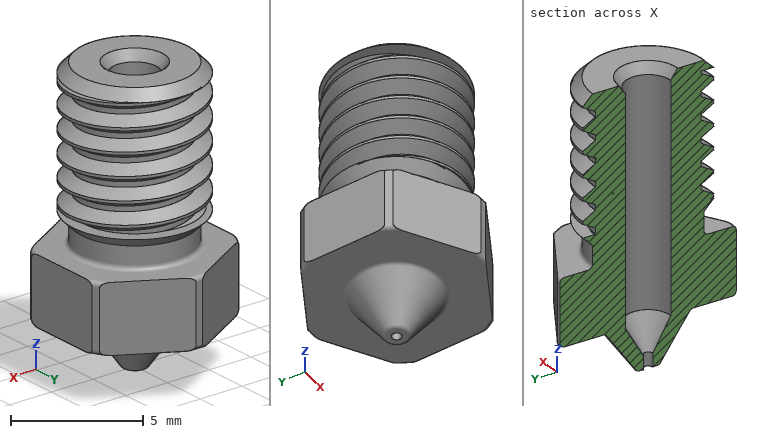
import cadquery as cq
import math

total_height = 12.5
hex_bottom = 2.0
hex_top = 5.0
neck_top = 6.0

across_flats = 7.0
across_corners = 7.9
neck_radius = 5.0 / 2
collar_radius = 5.89 / 2
crest_radius = 5.88 / 2
core_radius = 4.75 / 2
tip_radius = 0.5
cone_base_radius = 1.92
edge_fillet = 0.2

end_chamfer = collar_radius - neck_radius
thread_bottom = neck_top + end_chamfer
thread_top = total_height - end_chamfer

pitch = 1.0
crest_width = pitch / 8
flank_angle = 30.0
crest_height_at_x = 5.84
ridge_overlap = 0.06

bore_radius = 2.0 / 2
orifice_radius = 0.4 / 2
orifice_length = 0.6
bore_cone_half_angle = 30.0
mouth_radius = 1.31
mouth_depth = 0.44


def make_hex():
    """Hexagon with flats on +X and -X, its corners cut flat and rounded at both ends."""
    height = hex_top - hex_bottom
    corner_diameter = across_flats / math.cos(math.radians(30))
    body = (
        cq.Workplane("XY", origin=(0, 0, hex_bottom))
        .polygon(6, corner_diameter)
        .extrude(height)
        .rotate((0, 0, 0), (0, 0, 1), 30)
    )
    slab = (
        cq.Workplane("XY", origin=(0, 0, hex_bottom))
        .rect(2 * across_corners, across_corners)
        .extrude(height)
        .edges("|X")
        .fillet(edge_fillet)
    )
    for angle in (0, 60, 120):
        body = body.intersect(slab.rotate((0, 0, 0), (0, 0, 1), angle))
    return body


def make_shank():
    """Neck, thread core and the chamfered collars at both ends of the thread."""
    return (
        cq.Workplane("XZ")
        .moveTo(0, hex_top)
        .lineTo(neck_radius + edge_fillet, hex_top)
        .radiusArc((neck_radius, hex_top + edge_fillet), edge_fillet)
        .lineTo(neck_radius, neck_top)
        .lineTo(collar_radius, thread_bottom)
        .lineTo(core_radius, thread_bottom)
        .lineTo(core_radius, thread_top)
        .lineTo(collar_radius, thread_top)
        .lineTo(neck_radius, total_height)
        .lineTo(0, total_height)
        .close()
        .revolve(360, (0, 0, 0), (0, 1, 0))
    )


def make_thread():
    """Helical ridge, clipped to the length between the two collars."""
    root_radius = core_radius - ridge_overlap
    flank_rise = (crest_radius - root_radius) * math.tan(math.radians(flank_angle))
    half_crest = crest_width / 2
    half_root = half_crest + flank_rise
    turns = math.ceil((thread_top - crest_height_at_x) / pitch) + 1
    helix = cq.Wire.makeHelix(pitch, turns * pitch, root_radius, cq.Vector(0, 0, crest_height_at_x))
    ridge = (
        cq.Workplane("XZ")
        .moveTo(root_radius, crest_height_at_x - half_root)
        .lineTo(crest_radius, crest_height_at_x - half_crest)
        .lineTo(crest_radius, crest_height_at_x + half_crest)
        .lineTo(root_radius, crest_height_at_x + half_root)
        .close()
        .sweep(cq.Workplane(helix), isFrenet=True)
    )
    threaded_length = (
        cq.Workplane("XY", origin=(0, 0, thread_bottom))
        .circle(2 * crest_radius)
        .extrude(thread_top - thread_bottom)
    )
    return ridge.intersect(threaded_length)


def make_tip():
    """Conical tip with a rounded end and a fillet that blends into the hexagon."""
    slope = math.atan2(hex_bottom, cone_base_radius - tip_radius)
    tangent = edge_fillet * math.tan(slope / 2)
    along_x = tangent * math.cos(slope)
    along_z = tangent * math.sin(slope)
    return (
        cq.Workplane("XZ")
        .lineTo(tip_radius - tangent, 0)
        .radiusArc((tip_radius + along_x, along_z), -edge_fillet)
        .lineTo(cone_base_radius - along_x, hex_bottom - along_z)
        .radiusArc((cone_base_radius + tangent, hex_bottom), edge_fillet)
        .lineTo(0, hex_bottom)
        .close()
        .revolve(360, (0, 0, 0), (0, 1, 0))
    )


def make_bore():
    """Stepped through bore: orifice, inner cone, straight bore and flared mouth."""
    cone_height = (bore_radius - orifice_radius) / math.tan(math.radians(bore_cone_half_angle))
    return (
        cq.Workplane("XZ")
        .lineTo(orifice_radius, 0)
        .lineTo(orifice_radius, orifice_length)
        .lineTo(bore_radius, orifice_length + cone_height)
        .lineTo(bore_radius, total_height - mouth_depth)
        .lineTo(mouth_radius, total_height)
        .lineTo(0, total_height)
        .close()
        .revolve(360, (0, 0, 0), (0, 1, 0))
    )


result = make_shank().union(make_thread()).union(make_hex()).union(make_tip()).cut(make_bore())